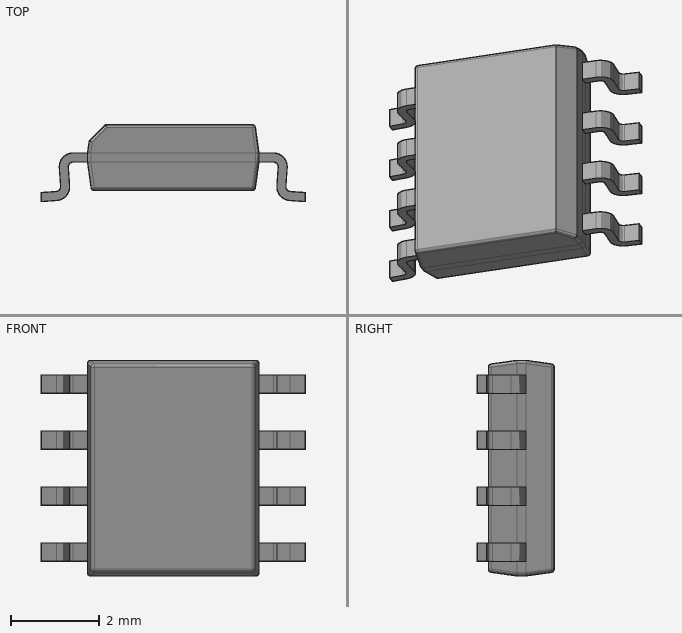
import cadquery as cq
import math


SPAN = 6.0
TOTAL_HEIGHT = 1.75

HOUSING_WIDTH = 3.9
HOUSING_LENGTH = 4.9
STANDOFF = 0.25
DRAFT = 8.0
EDGE_RADIUS = 0.08
BEVEL_BOTTOM = 1.38

LEADS_PER_SIDE = 4
LEAD_PITCH = 1.27
LEAD_WIDTH = 0.42
LEAD_THICKNESS = 0.21
LEAD_TOP = 1.11
BEND_RADIUS = 0.11
SHOULDER_LENGTH = 0.325
LEG_TILT = 4.0

SELECTION_GAP = 0.005

HALF_SPAN = SPAN / 2
HALF_WIDTH = HOUSING_WIDTH / 2
LEAD_BOTTOM = LEAD_TOP - LEAD_THICKNESS
OUTER_BEND_RADIUS = BEND_RADIUS + LEAD_THICKNESS


def housing_slab(start, height, taper):
    """Rectangular slab from Y = start; a negative height grows toward -Y."""
    return (
        cq.Workplane("XZ", origin=(0, start, 0))
        .rect(HOUSING_WIDTH, HOUSING_LENGTH)
        .extrude(-height, taper=taper)
    )


def bevel_cutter():
    """Triangular prism that takes a 45 degree bevel off the upper -X edge."""
    wall_inset = (BEVEL_BOTTOM - LEAD_TOP) * math.tan(math.radians(DRAFT))
    wall_x = -HALF_WIDTH + wall_inset
    return (
        cq.Workplane("XY")
        .moveTo(wall_x - HALF_WIDTH, BEVEL_BOTTOM - HALF_WIDTH)
        .lineTo(wall_x + HALF_WIDTH, BEVEL_BOTTOM + HALF_WIDTH)
        .lineTo(wall_x - HALF_WIDTH, BEVEL_BOTTOM + HALF_WIDTH)
        .close()
        .extrude(HOUSING_LENGTH / 2, both=True)
    )


def make_housing():
    """Housing with a straight band at the leads and drafted walls on both sides of it."""
    band = housing_slab(LEAD_BOTTOM, LEAD_THICKNESS, 0)
    upper = housing_slab(LEAD_TOP, TOTAL_HEIGHT - LEAD_TOP, DRAFT)
    lower = housing_slab(LEAD_BOTTOM, STANDOFF - LEAD_BOTTOM, DRAFT)
    block = band.union(upper).union(lower)
    beveled = block.cut(bevel_cutter())

    band_zone = cq.selectors.BoxSelector(
        (-HOUSING_WIDTH, LEAD_BOTTOM - SELECTION_GAP, -HOUSING_LENGTH),
        (HOUSING_WIDTH, LEAD_TOP + SELECTION_GAP, HOUSING_LENGTH),
        boundingbox=True,
    )
    band_edges = beveled.edges(band_zone)
    band_corners = band_edges.edges("|Y").vals()
    bevel_edges = beveled.faces("<(1, -1, 0)").edges("|Z")
    sharp_edges = band_edges.vals() + bevel_edges.vals()
    rounded_edges = [edge for edge in beveled.edges().vals() if edge not in sharp_edges]
    return beveled.newObject(rounded_edges + band_corners).fillet(EDGE_RADIUS)


def bend_point(center, radius, angle):
    """Point on a bend at an angle in degrees from +X."""
    turn = math.radians(angle)
    return (center[0] + radius * math.cos(turn), center[1] + radius * math.sin(turn))


def make_lead():
    """Gull-wing lead on the -X side, centred on Z = 0."""
    lean_sin = math.sin(math.radians(LEG_TILT))
    lean_cos = math.cos(math.radians(LEG_TILT))

    upper_center = (-HALF_WIDTH - SHOULDER_LENGTH, LEAD_BOTTOM - BEND_RADIUS)
    tip_depth = (-HALF_SPAN - upper_center[0]) * lean_sin + upper_center[1] * lean_cos
    leg_length = tip_depth - OUTER_BEND_RADIUS
    bend_spacing = BEND_RADIUS + OUTER_BEND_RADIUS
    lower_center = (
        upper_center[0] - bend_spacing * lean_cos + leg_length * lean_sin,
        upper_center[1] - bend_spacing * lean_sin - leg_length * lean_cos,
    )
    tip_height = LEAD_THICKNESS / lean_cos

    upper_start, upper_end = 90, 180 + LEG_TILT
    upper_mid = (upper_start + upper_end) / 2
    lower_start, lower_end = LEG_TILT, LEG_TILT - 90
    lower_mid = (lower_start + lower_end) / 2

    return (
        cq.Workplane("XY")
        .moveTo(-HALF_WIDTH, LEAD_TOP)
        .lineTo(*bend_point(upper_center, OUTER_BEND_RADIUS, upper_start))
        .threePointArc(
            bend_point(upper_center, OUTER_BEND_RADIUS, upper_mid),
            bend_point(upper_center, OUTER_BEND_RADIUS, upper_end),
        )
        .lineTo(*bend_point(lower_center, BEND_RADIUS, lower_start))
        .threePointArc(
            bend_point(lower_center, BEND_RADIUS, lower_mid),
            bend_point(lower_center, BEND_RADIUS, lower_end),
        )
        .lineTo(-HALF_SPAN, tip_height)
        .lineTo(-HALF_SPAN, 0)
        .lineTo(*bend_point(lower_center, OUTER_BEND_RADIUS, lower_end))
        .threePointArc(
            bend_point(lower_center, OUTER_BEND_RADIUS, lower_mid),
            bend_point(lower_center, OUTER_BEND_RADIUS, lower_start),
        )
        .lineTo(*bend_point(upper_center, BEND_RADIUS, upper_end))
        .threePointArc(
            bend_point(upper_center, BEND_RADIUS, upper_mid),
            bend_point(upper_center, BEND_RADIUS, upper_start),
        )
        .lineTo(-HALF_WIDTH, LEAD_BOTTOM)
        .close()
        .extrude(LEAD_WIDTH / 2, both=True)
    )


def make_leads():
    """A row of leads on each side; the +X row mirrors the -X row."""
    left_lead = make_lead()
    right_lead = left_lead.mirror("YZ")
    leads = []
    for index in range(LEADS_PER_SIDE):
        height = (index - (LEADS_PER_SIDE - 1) / 2) * LEAD_PITCH
        for lead in (left_lead, right_lead):
            leads.append(lead.translate((0, 0, height)).val())
    return leads


housing = make_housing()
leads = make_leads()
result = cq.Compound.makeCompound([housing.val(), *leads])